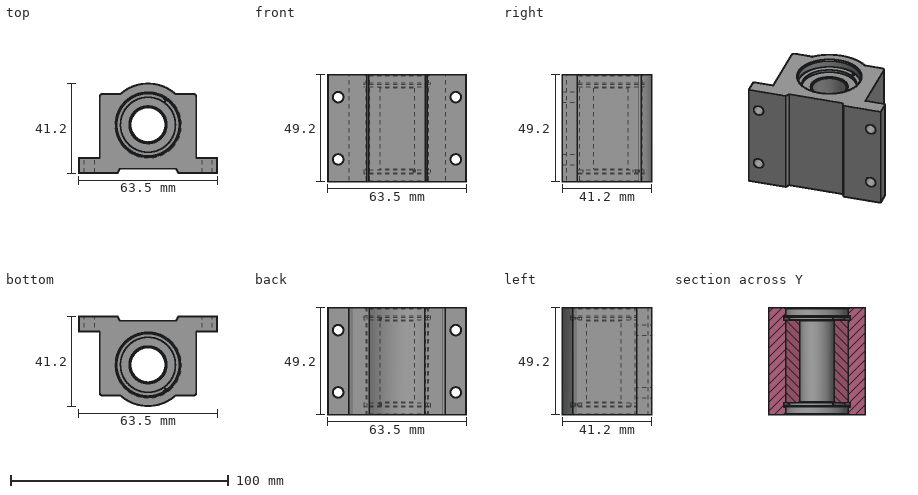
import cadquery as cq
import math


LENGTH = 49.2
FLANGE_WIDTH = 63.5
FLANGE_THICKNESS = 7.05
BODY_WIDTH = 44.45
BODY_HEIGHT = 36.4
CORNER_RADIUS = 1.4
AXIS_HEIGHT = 22.2
CROWN_RADIUS = 19.0
RELIEF_DEPTH = 2.0
RELIEF_FLOOR_WIDTH = 25.8
RELIEF_MOUTH_WIDTH = 27.8

HOLE_DIAMETER = 4.75
HOLE_SPACING_X = 54.0
HOLE_SPACING_Z = 28.6

BUSHING_RADIUS = 14.35
BUSHING_LENGTH = 38.1
BORE_RADIUS = 7.95
BORE_CHAMFER_WIDTH = 0.7
BORE_CHAMFER_DEPTH = 0.41
SEAT_CHAMFER = 0.6
GROOVE_CLEARANCE = 0.6

RING_THICKNESS = 1.3
RING_INNER_RADIUS = 12.65
RING_OUTER_RADIUS = 15.25
SPLIT_STEP_RADIUS = 14.1
SPLIT_ANGLE = 54.2
SPLIT_STEP_ANGLE = 5.0
SPLIT_GAP = 0.1

MOUNTING_Y = -AXIS_HEIGHT
HALF_BUSHING = BUSHING_LENGTH / 2
RING_BOTTOMS = (HALF_BUSHING, -HALF_BUSHING - RING_THICKNESS)


def cylinder(radius, length, bottom):
    return cq.Workplane("XY").workplane(offset=bottom).circle(radius).extrude(length)


def housing_block():
    """Constant section along Z: flanged base, square shoulders and a round crown."""
    shoulder_y = MOUNTING_Y + BODY_HEIGHT
    flange_y = MOUNTING_Y + FLANGE_THICKNESS
    relief_y = MOUNTING_Y + RELIEF_DEPTH
    crown_x = math.sqrt(CROWN_RADIUS**2 - shoulder_y**2)
    half_body = BODY_WIDTH / 2
    half_flange = FLANGE_WIDTH / 2
    block = (
        cq.Workplane("XY")
        .workplane(offset=-LENGTH / 2)
        .moveTo(crown_x, shoulder_y)
        .lineTo(half_body, shoulder_y)
        .lineTo(half_body, flange_y)
        .lineTo(half_flange, flange_y)
        .lineTo(half_flange, MOUNTING_Y)
        .lineTo(RELIEF_MOUTH_WIDTH / 2, MOUNTING_Y)
        .lineTo(RELIEF_FLOOR_WIDTH / 2, relief_y)
        .lineTo(-RELIEF_FLOOR_WIDTH / 2, relief_y)
        .lineTo(-RELIEF_MOUTH_WIDTH / 2, MOUNTING_Y)
        .lineTo(-half_flange, MOUNTING_Y)
        .lineTo(-half_flange, flange_y)
        .lineTo(-half_body, flange_y)
        .lineTo(-half_body, shoulder_y)
        .lineTo(-crown_x, shoulder_y)
        .threePointArc((0, CROWN_RADIUS), (crown_x, shoulder_y))
        .close()
        .extrude(LENGTH)
    )
    for side in (-1, 1):
        shoulder_corner = cq.selectors.NearestToPointSelector((side * half_body, shoulder_y, 0))
        block = block.edges(shoulder_corner).fillet(CORNER_RADIUS)
    return block


def make_housing():
    """Block with a chamfered through seat, two ring grooves and four mounting holes."""
    housing = housing_block().cut(cylinder(BUSHING_RADIUS, LENGTH, -LENGTH / 2))
    seat_rims = housing.faces("<Z or >Z").edges("%CIRCLE").edges(cq.selectors.RadiusNthSelector(1))
    housing = seat_rims.chamfer(SEAT_CHAMFER)
    groove_width = RING_THICKNESS + GROOVE_CLEARANCE
    for bottom in (HALF_BUSHING, -HALF_BUSHING - groove_width):
        housing = housing.cut(cylinder(RING_OUTER_RADIUS, groove_width, bottom))
    holes = (
        cq.Workplane("XZ", origin=(0, MOUNTING_Y, 0))
        .rarray(HOLE_SPACING_X, HOLE_SPACING_Z, 2, 2)
        .circle(HOLE_DIAMETER / 2)
        .extrude(-FLANGE_THICKNESS)
    )
    return housing.cut(holes)


def make_bushing():
    """Plain sleeve, revolved, with both ends of its bore chamfered."""
    rim_radius = BORE_RADIUS + BORE_CHAMFER_WIDTH
    chamfer_end = HALF_BUSHING - BORE_CHAMFER_DEPTH
    section = [
        (BORE_RADIUS, -chamfer_end),
        (rim_radius, -HALF_BUSHING),
        (BUSHING_RADIUS, -HALF_BUSHING),
        (BUSHING_RADIUS, HALF_BUSHING),
        (rim_radius, HALF_BUSHING),
        (BORE_RADIUS, chamfer_end),
    ]
    return cq.Workplane("XZ").polyline(section).close().revolve(360, (0, 0), (0, 1))


def polar(radius, angle):
    return (radius * math.cos(math.radians(angle)), radius * math.sin(math.radians(angle)))


def split_cut(bottom):
    """Narrow Z-shaped gap: radial, then a step along the ring, then radial again."""
    step_angle = SPLIT_ANGLE + SPLIT_STEP_ANGLE
    centreline = [
        polar(RING_INNER_RADIUS - SPLIT_GAP, SPLIT_ANGLE),
        polar(SPLIT_STEP_RADIUS, SPLIT_ANGLE),
        polar(SPLIT_STEP_RADIUS, step_angle),
        polar(RING_OUTER_RADIUS + SPLIT_GAP, step_angle),
    ]
    return (
        cq.Workplane("XY")
        .workplane(offset=bottom)
        .polyline(centreline)
        .offset2D(SPLIT_GAP / 2)
        .extrude(RING_THICKNESS)
    )


def make_retaining_ring(bottom):
    """Flat ring that rests on one end of the bushing."""
    ring = cylinder(RING_OUTER_RADIUS, RING_THICKNESS, bottom)
    ring = ring.cut(cylinder(RING_INNER_RADIUS, RING_THICKNESS, bottom))
    return ring.cut(split_cut(bottom))


housing = make_housing()
bushing = make_bushing()
retaining_rings = [make_retaining_ring(bottom) for bottom in RING_BOTTOMS]

result = cq.Compound.makeCompound(
    [housing.val(), bushing.val(), *[ring.val() for ring in retaining_rings]]
)